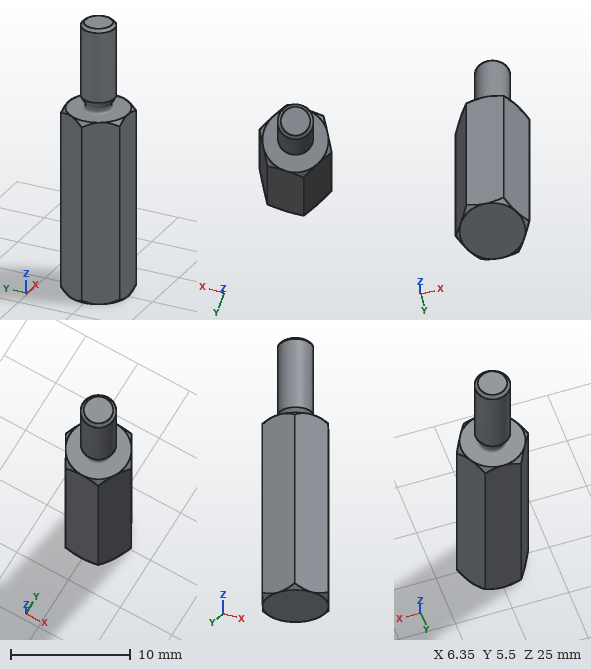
import cadquery as cq
import math

total_length = 25.0
body_length = 17.0
across_flats = 5.5
corner_radius = across_flats / math.sqrt(3)
face_radius = across_flats / 2
corner_chamfer = corner_radius - face_radius

stud_radius = 3.0 / 2
tip_radius = 2.45 / 2
tip_chamfer = stud_radius - tip_radius
neck_radius = 2.2 / 2
undercut_length = 1.2
neck_fillet = 0.25
cone_angle = math.radians(30)
neck_length = undercut_length - (stud_radius - neck_radius) / math.tan(cone_angle)


def hex_body():
    """Hexagonal prism trimmed by a round envelope that bevels both ends."""
    prism = cq.Workplane("XY").polygon(6, 2 * corner_radius).extrude(body_length)
    envelope = (
        cq.Workplane("XY")
        .circle(corner_radius)
        .extrude(body_length)
        .faces("<Z or >Z")
        .chamfer(corner_chamfer)
    )
    return prism.intersect(envelope)


def arc_offset(angle):
    """Radial and axial offset of a neck fillet point from its tangent point on the neck."""
    return neck_fillet * (1 - math.cos(angle)), neck_fillet * math.sin(angle)


def stud():
    """Turned stud: filleted neck, conical run-out, plain shank and chamfered tip."""
    cone_arc_start = body_length + neck_length - neck_fillet * math.tan(cone_angle / 2)
    mid_out, mid_up = arc_offset(cone_angle / 2)
    end_out, end_up = arc_offset(cone_angle)
    base_out, base_up = arc_offset(math.pi / 4)
    base_arc_top = body_length + neck_fillet
    profile = (
        cq.Workplane("XZ")
        .moveTo(0, body_length)
        .lineTo(neck_radius + neck_fillet, body_length)
        .threePointArc(
            (neck_radius + base_out, base_arc_top - base_up),
            (neck_radius, base_arc_top),
        )
        .lineTo(neck_radius, cone_arc_start)
        .threePointArc(
            (neck_radius + mid_out, cone_arc_start + mid_up),
            (neck_radius + end_out, cone_arc_start + end_up),
        )
        .lineTo(stud_radius, body_length + undercut_length)
        .lineTo(stud_radius, total_length - tip_chamfer)
        .lineTo(tip_radius, total_length)
        .lineTo(0, total_length)
        .close()
    )
    return profile.revolve(360, (0, 0, 0), (0, 1, 0))


result = hex_body().union(stud())